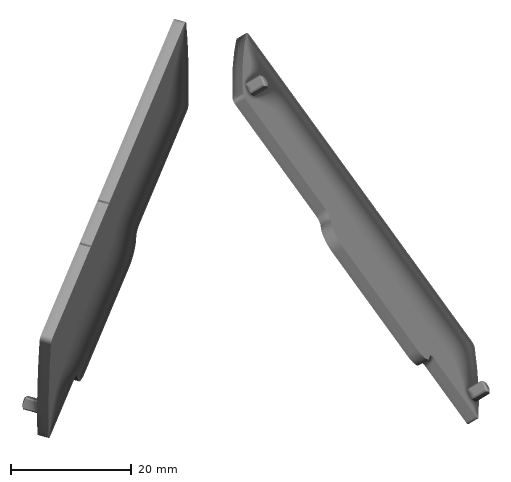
import cadquery as cq
import math

thickness = 2.0
width = 71.85
height = 32.35
ledge_z = 5.45
widest_z = 12.6
top_inset = 1.4
top_corner_radius = 1.0
ledge_corner_radius = 0.7

foot_center_y = -6.0
foot_half_bottom = 14.5
foot_half_top = 15.2
foot_root_radius = 1.6
foot_tip_radius = 3.6

peg_length = 3.1
peg_spacing = 67.4
peg_z = 11.2
peg_square = 2.1
peg_edge_trim = 0.2
peg_tip_radius = 0.8
peg_tip_length = 0.4

groove_centers_y = (-4.9, -14.15)
groove_width = 0.4
groove_depth = 0.2


def make_plate():
    half_width = width / 2
    half_top = half_width - top_inset
    arc_rise = height - widest_z
    side_radius = (arc_rise**2 + top_inset**2) / (2 * top_inset)
    arc_drop = widest_z - ledge_z
    half_ledge = half_width - side_radius + math.sqrt(side_radius**2 - arc_drop**2)

    plate = (
        cq.Workplane("YZ")
        .moveTo(-half_ledge, ledge_z)
        .lineTo(foot_center_y - foot_half_top, ledge_z)
        .lineTo(foot_center_y - foot_half_bottom, 0)
        .lineTo(foot_center_y + foot_half_bottom, 0)
        .lineTo(foot_center_y + foot_half_top, ledge_z)
        .lineTo(half_ledge, ledge_z)
        .threePointArc((half_width, widest_z), (half_top, height))
        .lineTo(-half_top, height)
        .threePointArc((-half_width, widest_z), (-half_ledge, ledge_z))
        .close()
        .extrude(thickness)
    )

    def round_corners(body, half_span, center_y, z, radius):
        for side in (-1, 1):
            corner = (thickness / 2, center_y + side * half_span, z)
            body = body.edges(cq.selectors.NearestToPointSelector(corner)).fillet(radius)
        return body

    plate = round_corners(plate, half_top, 0, height, top_corner_radius)
    plate = round_corners(plate, half_ledge, 0, ledge_z, ledge_corner_radius)
    plate = round_corners(plate, foot_half_top, foot_center_y, ledge_z, foot_root_radius)
    return round_corners(plate, foot_half_bottom, foot_center_y, 0, foot_tip_radius)


def make_peg(y):
    bar = (
        cq.Workplane("YZ")
        .rect(peg_square, peg_square)
        .extrude(-peg_length)
        .edges("|X")
        .chamfer(peg_edge_trim)
        .rotate((0, 0, 0), (1, 0, 0), 45)
    )
    envelope_radius = peg_square / math.sqrt(2)
    envelope = (
        cq.Workplane("XY")
        .lineTo(-peg_length, 0)
        .lineTo(-peg_length, peg_tip_radius)
        .lineTo(-peg_length + peg_tip_length, envelope_radius)
        .lineTo(0, envelope_radius)
        .close()
        .revolve(360, (0, 0, 0), (1, 0, 0))
    )
    return bar.intersect(envelope).translate((0, y, peg_z))


def make_groove(y):
    return (
        cq.Workplane("YZ")
        .moveTo(y - groove_width / 2, height)
        .lineTo(y, height - groove_depth)
        .lineTo(y + groove_width / 2, height)
        .close()
        .extrude(thickness)
    )


result = make_plate()
for peg_side in (-1, 1):
    result = result.union(make_peg(peg_side * peg_spacing / 2))
for groove_y in groove_centers_y:
    result = result.cut(make_groove(groove_y))